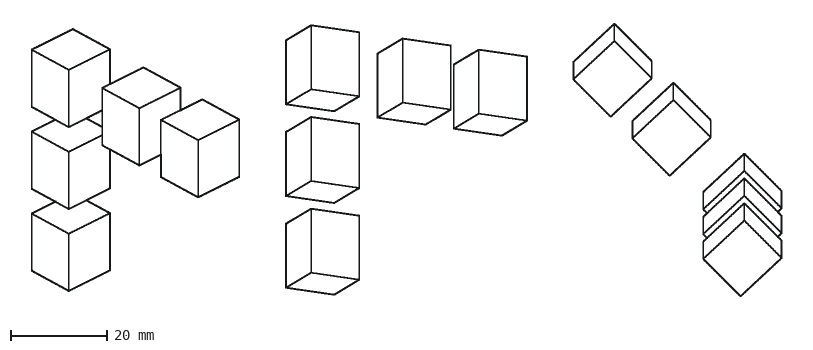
import cadquery as cq

block_width = 11.2
block_depth = 11.9
block_height = 14.0

total_width = 50.2
total_height = 53.95

column_count = 3
column_pitch = (total_height - block_height) / (column_count - 1)
row_first_step = 21.25
row_full_step = total_width - block_width


def make_block(x, z):
    """One plain block with its lower front left corner at (x, 0, z)."""
    return cq.Workplane("XY").box(
        block_width, block_depth, block_height, centered=False
    ).translate((x, 0, z))


column_places = [(0, level * column_pitch) for level in range(column_count)]

top_level = total_height - block_height
row_places = [(step, top_level) for step in (row_first_step, row_full_step)]

blocks = [make_block(x, z).val() for x, z in column_places + row_places]

result = cq.Compound.makeCompound(blocks)